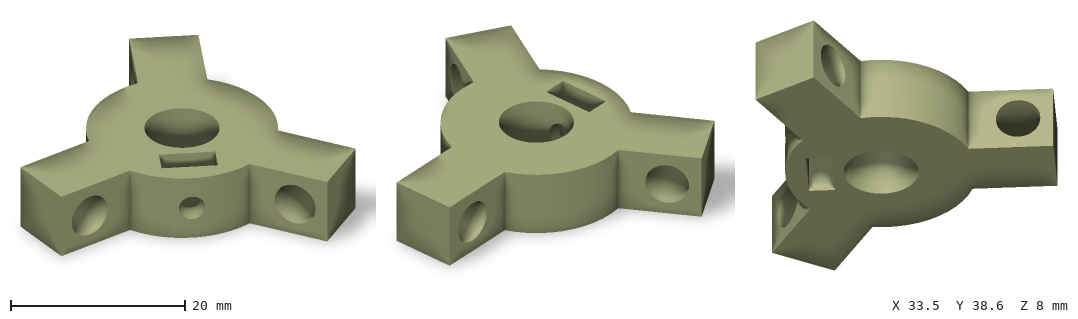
import cadquery as cq
import math

span = 38.65
thickness = 8.0
arm_count = 3
arm_width = thickness
arm_pitch = 360 / arm_count
arm_length = (span / 2 - arm_width / 4) / math.sin(math.radians(60))
hub_radius = 11.0
bore_diameter = 8.6

arm_hole_diameter = 5.1
arm_hole_inset = 4.0

screw_angle = -arm_pitch / 2
screw_hole_diameter = 3.0
nut_slot_distance = 7.0
nut_slot_thickness = 2.98
nut_slot_width = 6.5


def make_arm():
    """Arm along +X, starting at the hub axis, with its cross hole."""
    arm = cq.Workplane("XY").box(arm_length, arm_width, thickness, centered=(False, True, True))
    hole = (
        cq.Workplane("XZ", origin=(arm_length - arm_hole_inset, arm_width / 2, 0))
        .circle(arm_hole_diameter / 2)
        .extrude(arm_width)
    )
    return arm.cut(hole)


def make_screw_cut():
    """Radial screw hole from the bore to the rim, crossing a through nut slot."""
    screw_hole = cq.Workplane("YZ").circle(screw_hole_diameter / 2).extrude(hub_radius)
    nut_slot = (
        cq.Workplane("XY")
        .box(nut_slot_thickness, nut_slot_width, thickness)
        .translate((nut_slot_distance, 0, 0))
    )
    return screw_hole.union(nut_slot).rotate((0, 0, 0), (0, 0, 1), screw_angle)


bottom_plane = cq.Workplane("XY", origin=(0, 0, -thickness / 2))
result = bottom_plane.circle(hub_radius).extrude(thickness)
for index in range(arm_count):
    result = result.union(make_arm().rotate((0, 0, 0), (0, 0, 1), index * arm_pitch))

bore = bottom_plane.circle(bore_diameter / 2).extrude(thickness)
result = result.cut(bore).cut(make_screw_cut())